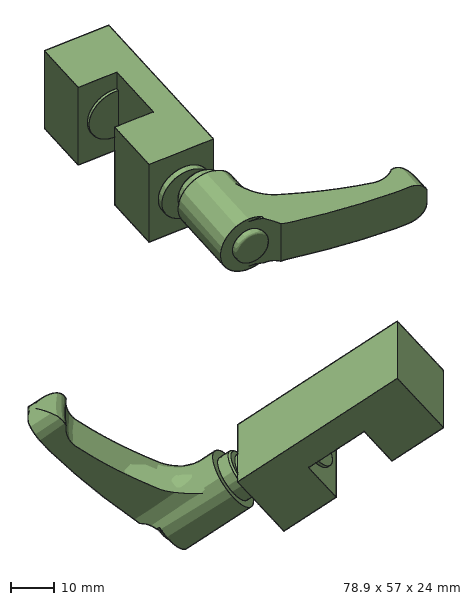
import cadquery as cq
import math

BLOCK_LENGTH = 47.1
BLOCK_DEPTH = 17.5
BLOCK_HEIGHT = 24.0

SLOT_START = 15.2
SLOT_END = 31.6
SLOT_DEPTH = 10.5

PAD_DIAMETER = 14.0
PAD_AXIS_Y = 9.5
PAD_PROUD = 0.8
FLANGE_THICKNESS = 1.65
FLANGE_END = BLOCK_LENGTH + FLANGE_THICKNESS

OVERALL_LENGTH = 78.9
OVERALL_DEPTH = 56.95
HUB_AXIS_Y = 12.5
HUB_RADIUS = 7.7
HUB_START = 52.3
HUB_END = 71.4
COLLAR_DIAMETER = 11.8
COLLAR_CHAMFER = 0.5
SCREW_RADIUS = 4.5
SCREW_END = 73.3
SCREW_FILLET = 0.8

ARM_THICKNESS = 11.2
ARM_HALF = ARM_THICKNESS / 2
ARM_TIP = OVERALL_DEPTH - HUB_AXIS_Y
FLARE_TOP = 8.75
TIP_CORNER = 1.4
ROOT_RADIUS = 7.8


def x_cylinder(start, end, diameter, axis_y):
    """Cylinder along X between two X positions."""
    return (
        cq.Workplane("YZ", origin=(start, axis_y, 0))
        .circle(diameter / 2)
        .extrude(end - start)
    )


def make_block():
    """U-shaped clamp block with its two jaw pads and the flange."""
    block = cq.Workplane("XY").box(
        BLOCK_LENGTH, BLOCK_DEPTH, BLOCK_HEIGHT, centered=(False, False, True)
    )
    slot = (
        cq.Workplane("XY")
        .box(SLOT_END - SLOT_START, SLOT_DEPTH, BLOCK_HEIGHT, centered=(False, False, True))
        .translate((SLOT_START, 0, 0))
    )
    left_pad = x_cylinder(0, SLOT_START + PAD_PROUD, PAD_DIAMETER, PAD_AXIS_Y)
    right_pad = x_cylinder(SLOT_END - PAD_PROUD, FLANGE_END, PAD_DIAMETER, PAD_AXIS_Y)
    return block.cut(slot).union(left_pad).union(right_pad)


def make_arm_section():
    """Arm cross-section along X: flat sides, round tip, sides flaring tangent to the hub."""
    flare_radius = (ARM_HALF**2 + FLARE_TOP**2 - HUB_RADIUS**2) / (2 * (HUB_RADIUS - ARM_HALF))
    flare_centre_z = ARM_HALF + flare_radius
    hub_angle = math.atan2(FLARE_TOP, flare_centre_z)
    foot_y = HUB_RADIUS * math.sin(hub_angle)
    foot_z = HUB_RADIUS * math.cos(hub_angle)
    mid_angle = hub_angle / 2
    mid_y = FLARE_TOP - flare_radius * math.sin(mid_angle)
    mid_z = flare_centre_z - flare_radius * math.cos(mid_angle)
    shoulder = ARM_TIP - ARM_HALF
    return (
        cq.Workplane("YZ", origin=(HUB_START, HUB_AXIS_Y, 0))
        .moveTo(0, foot_z)
        .lineTo(foot_y, foot_z)
        .threePointArc((mid_y, mid_z), (FLARE_TOP, ARM_HALF))
        .lineTo(shoulder, ARM_HALF)
        .threePointArc((ARM_TIP, 0), (shoulder, -ARM_HALF))
        .lineTo(FLARE_TOP, -ARM_HALF)
        .threePointArc((mid_y, -mid_z), (foot_y, -foot_z))
        .lineTo(0, -foot_z)
        .close()
        .extrude(OVERALL_LENGTH - HUB_START)
    )


def make_arm_inner_form():
    """Body turned about the hub axis that gives the arm its hooked inner side."""
    return (
        cq.Workplane("XY", origin=(0, HUB_AXIS_Y, 0))
        .moveTo(HUB_START, 0)
        .lineTo(HUB_START, ROOT_RADIUS)
        .lineTo(56.8, ROOT_RADIUS)
        .threePointArc((61.85, 9.2), (65.15, 12.4))
        .threePointArc((70.0, 22.8), (73.1, 32.65))
        .threePointArc((73.1, 36.3), (71.5, 39.0))
        .threePointArc((71.3, 40.55), (71.8, 42.0))
        .threePointArc((73.9, 43.7), (77.3, ARM_TIP))
        .lineTo(OVERALL_LENGTH, ARM_TIP)
        .lineTo(OVERALL_LENGTH, 0)
        .close()
        .revolve(360, (0, 0, 0), (1, 0, 0))
    )


def make_arm_outer_cutter():
    """Prism along Z, cut away to leave the bowed outer side and the undercut heel."""
    beyond = OVERALL_LENGTH + HUB_RADIUS
    return (
        cq.Workplane("XY", origin=(0, HUB_AXIS_Y, -2 * HUB_RADIUS))
        .moveTo(HUB_END, -2 * HUB_RADIUS)
        .lineTo(HUB_END, 0)
        .threePointArc((71.9, 3.0), (73.5, 5.6))
        .lineTo(74.8, 6.6)
        .lineTo(75.25, FLARE_TOP)
        .threePointArc((77.7, 22.8), (OVERALL_LENGTH, 35.5))
        .lineTo(OVERALL_LENGTH, ARM_TIP - TIP_CORNER)
        .radiusArc((OVERALL_LENGTH - TIP_CORNER, ARM_TIP), -TIP_CORNER)
        .lineTo(OVERALL_LENGTH - TIP_CORNER, ARM_TIP + HUB_RADIUS)
        .lineTo(beyond, ARM_TIP + HUB_RADIUS)
        .lineTo(beyond, -2 * HUB_RADIUS)
        .close()
        .extrude(4 * HUB_RADIUS)
    )


def make_handle():
    """Clamping lever: collar, hub, screw head and arm."""
    collar = (
        x_cylinder(FLANGE_END, HUB_START, COLLAR_DIAMETER, HUB_AXIS_Y)
        .faces("<X")
        .chamfer(COLLAR_CHAMFER)
    )
    hub = x_cylinder(HUB_START, HUB_END, 2 * HUB_RADIUS, HUB_AXIS_Y)
    screw = (
        x_cylinder(HUB_END, SCREW_END, 2 * SCREW_RADIUS, HUB_AXIS_Y)
        .faces(">X")
        .edges()
        .fillet(SCREW_FILLET)
    )
    arm = make_arm_section().intersect(make_arm_inner_form()).cut(make_arm_outer_cutter())
    return hub.union(arm).union(collar).union(screw)


block = make_block()
handle = make_handle()
result = cq.Compound.makeCompound([block.solids().val(), handle.solids().val()])